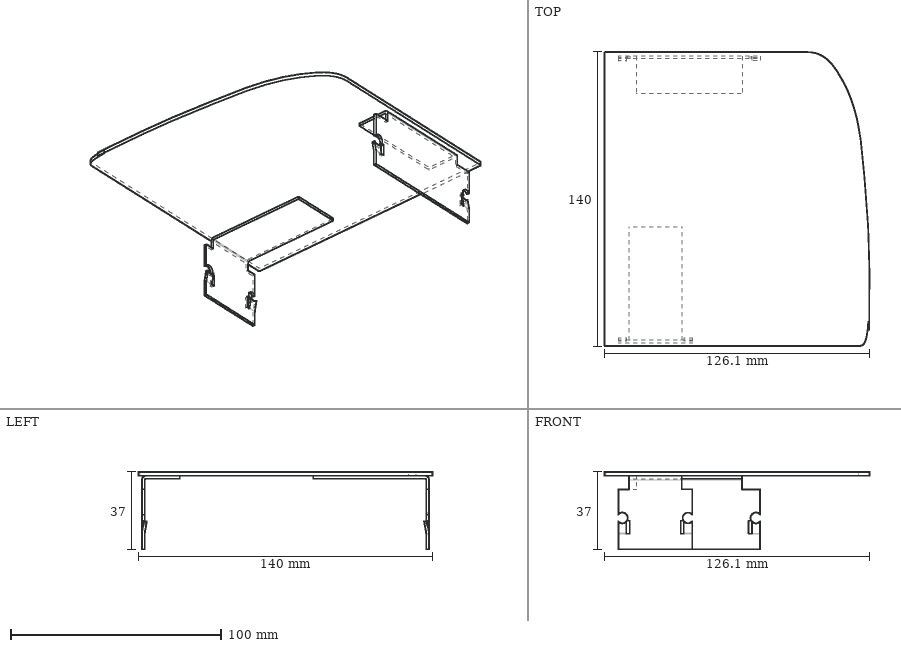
import cadquery as cq
import math


PLATE_WIDTH = 126.1
PLATE_DEPTH = 140.0
PLATE_THICKNESS = 2.0
STRAIGHT_EDGE_CORNER_RADIUS = 0.5
BACK_EDGE_END_X = 96.6
FRONT_EDGE_END_X = 120.7
WIDEST_Y = -33.6
BACK_CORNER_POINTS = [(110.9, 60.6), (118.7, 43.7), (123.6, 12.0)]
FRONT_CORNER_POINT = (124.3, -67.2)
FRONT_SIDE_POINT = (125.6, -58.8)

OVERALL_HEIGHT = 37.0
SHEET_THICKNESS = 1.4
BEND_INNER_RADIUS = 0.4
BEND_OUTER_RADIUS = BEND_INNER_RADIUS + SHEET_THICKNESS
LEG_INSET = 1.7
BRACKET_LEFT_X = 6.6
LEG_BOTTOM_Z = PLATE_THICKNESS - OVERALL_HEIGHT
SHOULDER_Z = -6.5

HOLE_RADIUS = 2.5
HOLE_INSET = 2.0
HOLE_Z = -20.0
TAB_WIDTH = 3.9
SLIT_WIDTH = 1.5
WINDOW_TOP_Z = -21.4
WINDOW_BOTTOM_Z = -27.5
TAB_ANGLE = 10.0

FRONT_BRACKET = dict(width=35.1, shoulder=5.0, flange_length=55.2)
BACK_BRACKET = dict(width=67.5, shoulder=8.5, flange_length=18.0)


def make_plate():
    """Flat plate with three straight edges and a curved side on +X."""
    half_depth = PLATE_DEPTH / 2
    blank = (
        cq.Workplane("XY")
        .moveTo(0, -half_depth)
        .lineTo(FRONT_EDGE_END_X, -half_depth)
        .spline(
            [FRONT_CORNER_POINT, FRONT_SIDE_POINT, (PLATE_WIDTH, WIDEST_Y)],
            tangents=[(1, 0), (0, 1)],
            includeCurrent=True,
        )
        .spline(
            [*reversed(BACK_CORNER_POINTS), (BACK_EDGE_END_X, half_depth)],
            tangents=[(0, 1), (-1, 0)],
            includeCurrent=True,
        )
        .lineTo(0, half_depth)
        .close()
        .extrude(PLATE_THICKNESS)
    )
    return blank.edges("|Z and <X").fillet(STRAIGHT_EDGE_CORNER_RADIUS)


def box(x_min, x_max, y_min, y_max, z_min, z_max):
    size = (x_max - x_min, y_max - y_min, z_max - z_min)
    return cq.Workplane("XY").box(*size, centered=False).translate((x_min, y_min, z_min))


def bend_point(radius, turn, center):
    """Point on a bend arc, turned from the outer side of the leg toward the top."""
    return (center[0] - radius * math.cos(turn), center[1] + radius * math.sin(turn))


def make_bent_sheet(width, shoulder, flange_length):
    """L-shaped sheet: leg outer face on Y = 0, flange toward +Y, left edge on X = 0."""
    bend_center = (BEND_OUTER_RADIUS, -BEND_OUTER_RADIUS)
    half_turn = math.pi / 4
    sheet = (
        cq.Workplane("YZ")
        .moveTo(0, LEG_BOTTOM_Z)
        .lineTo(0, -BEND_OUTER_RADIUS)
        .threePointArc(bend_point(BEND_OUTER_RADIUS, half_turn, bend_center), (BEND_OUTER_RADIUS, 0))
        .lineTo(flange_length, 0)
        .lineTo(flange_length, -SHEET_THICKNESS)
        .lineTo(BEND_OUTER_RADIUS, -SHEET_THICKNESS)
        .threePointArc(
            bend_point(BEND_INNER_RADIUS, half_turn, bend_center),
            (SHEET_THICKNESS, -BEND_OUTER_RADIUS),
        )
        .lineTo(SHEET_THICKNESS, LEG_BOTTOM_Z)
        .close()
        .extrude(width)
    )
    for x_min in (0, width - shoulder):
        sheet = sheet.cut(box(x_min, x_min + shoulder, 0, flange_length, SHOULDER_Z, 0))
    return sheet


def make_tab():
    """Tab on X = 0 .. TAB_WIDTH, bent toward +Y about its lower end."""
    bend_center = (BEND_OUTER_RADIUS, WINDOW_BOTTOM_Z)
    angle = math.radians(TAB_ANGLE)

    def slanted_to_top(start):
        return (start[0] + (WINDOW_TOP_Z - start[1]) * math.tan(angle), WINDOW_TOP_Z)

    outer_end = bend_point(BEND_OUTER_RADIUS, angle, bend_center)
    inner_end = bend_point(BEND_INNER_RADIUS, angle, bend_center)
    return (
        cq.Workplane("YZ")
        .moveTo(0, WINDOW_BOTTOM_Z)
        .threePointArc(bend_point(BEND_OUTER_RADIUS, angle / 2, bend_center), outer_end)
        .lineTo(*slanted_to_top(outer_end))
        .lineTo(*slanted_to_top(inner_end))
        .lineTo(*inner_end)
        .threePointArc(
            bend_point(BEND_INNER_RADIUS, angle / 2, bend_center),
            (SHEET_THICKNESS, WINDOW_BOTTOM_Z),
        )
        .close()
        .extrude(TAB_WIDTH)
    )


def make_notch_hole():
    """Cylinder through the leg and the bent tab."""
    hole_length = 2 * SHEET_THICKNESS
    return (
        cq.Workplane("XZ")
        .center(HOLE_INSET, HOLE_Z)
        .circle(HOLE_RADIUS)
        .extrude(-hole_length)
    )


def make_bracket(width, shoulder, flange_length):
    """Bent sheet with a notch hole and a bent tab on both sides of its leg."""
    hole = make_notch_hole()
    window = box(0, TAB_WIDTH + SLIT_WIDTH, 0, SHEET_THICKNESS, WINDOW_BOTTOM_Z, WINDOW_TOP_Z)
    opening = window.union(hole)
    tab = make_tab().cut(hole)

    def on_right_side(shape):
        return shape.mirror("YZ").translate((width, 0, 0))

    bracket = make_bent_sheet(width, shoulder, flange_length)
    bracket = bracket.cut(opening).union(tab)
    return bracket.cut(on_right_side(opening)).union(on_right_side(tab))


def place_bracket(bracket):
    """Put a bracket at the -Y edge of the plate, flange against the underside."""
    return bracket.translate((BRACKET_LEFT_X, LEG_INSET - PLATE_DEPTH / 2, 0))


plate = make_plate()
front_bracket = place_bracket(make_bracket(**FRONT_BRACKET))
back_bracket = place_bracket(make_bracket(**BACK_BRACKET)).mirror("XZ")

bodies = [plate, front_bracket, back_bracket]
result = cq.Compound.makeCompound([body.solids().val() for body in bodies])